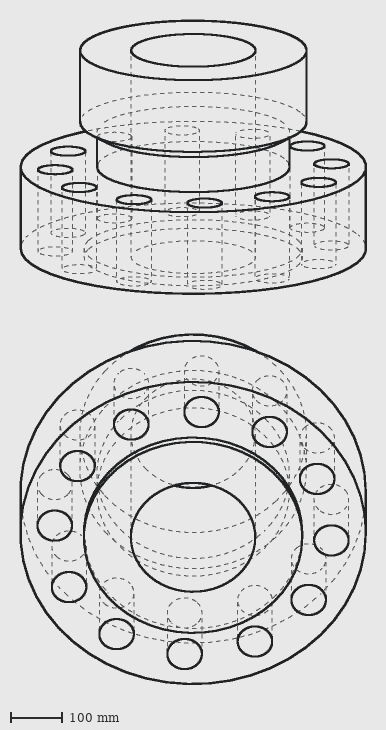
import cadquery as cq

flange_diameter = 673.0
flange_thickness = 165.0

face_diameter = 425.0
face_height = 17.5

neck_diameter = 375.0
hub_diameter = 441.5
total_height = 417.0
cone_height = 19.5
hub_height = 145.0

bore_diameter = 242.0

bolt_count = 12
bolt_hole_diameter = 67.0
bolt_circle_diameter = 540.0

flange_top = face_height + flange_thickness
hub_bottom = total_height - hub_height
neck_top = hub_bottom - cone_height


def turned_body():
    """Revolve the half section between the bore and the outer steps about Z."""
    bore_radius = bore_diameter / 2
    face_radius = face_diameter / 2
    flange_radius = flange_diameter / 2
    neck_radius = neck_diameter / 2
    hub_radius = hub_diameter / 2
    half_section = [
        (bore_radius, 0),
        (face_radius, 0),
        (face_radius, face_height),
        (flange_radius, face_height),
        (flange_radius, flange_top),
        (neck_radius, flange_top),
        (neck_radius, neck_top),
        (hub_radius, hub_bottom),
        (hub_radius, total_height),
        (bore_radius, total_height),
    ]
    return cq.Workplane("XZ").polyline(half_section).close().revolve(360, (0, 0, 0), (0, 1, 0))


def bolt_holes():
    """Through holes spaced evenly on the bolt circle, the first one on +X."""
    return (
        cq.Workplane("XY")
        .polarArray(bolt_circle_diameter / 2, 0, 360, bolt_count)
        .circle(bolt_hole_diameter / 2)
        .extrude(flange_top)
    )


result = turned_body().cut(bolt_holes())